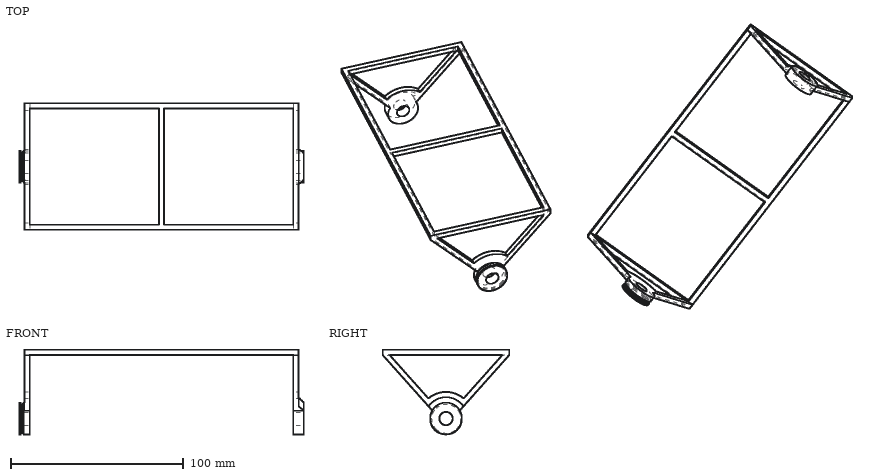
import cadquery as cq
import math

total_length = 165.5
frame_width = 73.6
total_height = 49.3

bar = 3.1
hub_offset = 3.1
strut_top_width = 4.1
web_radius = 15.5

hub_radius = 9.3
bore_radius = 3.8
groove_floor_width = 1.0
groove_bevel_width = 0.8
groove_depth = 0.8
groove_from_end = 1.0
cone_radius = 12.4

frame_length = total_length - 2 * hub_offset
frame_top = total_height - hub_radius
frame_bottom = frame_top - bar
frame_end = frame_length / 2
hub_end = total_length / 2
bracket_inside = frame_end - bar

strut_angle = math.radians(48.2)
strut_tip = frame_bottom - frame_width / 2 * math.tan(strut_angle)
window_half_width = frame_width / 2 - strut_top_width
window_tip = frame_bottom - window_half_width * math.tan(strut_angle)


def x_cylinder(radius, x_start, x_end):
    return cq.Workplane("YZ").workplane(offset=x_start).circle(radius).extrude(x_end - x_start)


def triangle(half_width, tip_height, x_start, x_end):
    """Prism along X, pointing down from the underside of the frame."""
    corners = [(-half_width, frame_bottom), (half_width, frame_bottom), (0, tip_height)]
    return cq.Workplane("YZ").workplane(offset=x_start).polyline(corners).close().extrude(x_end - x_start)


def make_frame():
    opening_length = (frame_length - 3 * bar) / 2
    outline = cq.Workplane("XY").workplane(offset=frame_bottom).rect(frame_length, frame_width)
    opening_x = (opening_length + bar) / 2
    openings = (
        cq.Workplane("XY")
        .workplane(offset=frame_bottom)
        .pushPoints([(-opening_x, 0), (opening_x, 0)])
        .rect(opening_length, frame_width - 2 * bar)
        .extrude(bar)
    )
    return outline.extrude(bar).cut(openings)


def make_bracket():
    """Two struts joined by a round-topped web, with a plain hub at the +X end."""
    outline = triangle(frame_width / 2, strut_tip, bracket_inside, frame_end)
    window = triangle(window_half_width, window_tip, bracket_inside, frame_end)
    window = window.cut(x_cylinder(web_radius, bracket_inside, frame_end))
    hub = x_cylinder(hub_radius, bracket_inside, hub_end)
    return outline.cut(window).union(hub)


def make_cone_support():
    """Tapered shoulder between the +X web and the outer end of its hub."""
    cone = (
        cq.Workplane("YZ")
        .workplane(offset=frame_end)
        .circle(cone_radius)
        .workplane(offset=hub_offset)
        .circle(hub_radius)
        .loft(ruled=True)
    )
    return cone.intersect(triangle(frame_width / 2, strut_tip, frame_end, hub_end))


def make_groove():
    """Ring around the -X hub: a square outer wall, a flat floor and a sloped inner wall."""
    groove_start = -hub_end + groove_from_end
    floor_end = groove_start + groove_floor_width
    groove_end = floor_end + groove_bevel_width
    floor_radius = hub_radius - groove_depth
    profile = [
        (groove_start, hub_radius),
        (groove_start, floor_radius),
        (floor_end, floor_radius),
        (groove_end, hub_radius),
    ]
    return cq.Workplane("XZ").polyline(profile).close().revolve(360, (0, 0, 0), (1, 0, 0))


bracket = make_bracket()
bore = x_cylinder(bore_radius, -hub_end, hub_end)
result = (
    make_frame()
    .union(bracket)
    .union(bracket.mirror("YZ"))
    .union(make_cone_support())
    .cut(make_groove())
    .cut(bore)
)